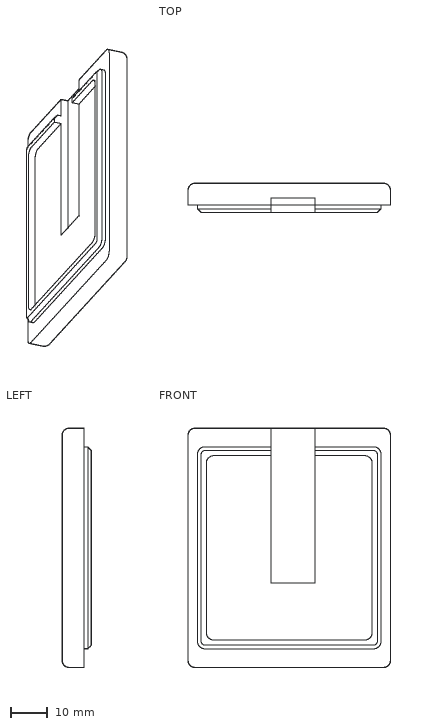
import cadquery as cq

plate_width = 55.0
plate_height = 65.0
plate_thickness = 6.0
plate_corner_radius = 2.0
back_edge_radius = 2.0

rim_side_margin = 2.6
rim_end_margin = 5.1
rim_projection = 2.0
rim_wall = 2.4
rim_corner_radius = 2.0
rim_chamfer = 1.0

slot_width = 12.0
slot_length = 42.0
slot_depth_in_plate = 2.0
slot_center_x = 1.0

rim_width = plate_width - 2 * rim_side_margin
rim_height = plate_height - 2 * rim_end_margin
rim_front_y = -rim_projection


def upright_block(width, height, front_y, depth, corner_radius):
    """Centred block with rounded upright corners, running from front_y towards +Y."""
    return (
        cq.Workplane("XZ", origin=(0, front_y, 0))
        .rect(width, height)
        .extrude(-depth)
        .edges("|Y")
        .fillet(corner_radius)
    )


def make_plate():
    """Base plate with its front face at Y = 0 and a rounded back perimeter."""
    plate = upright_block(plate_width, plate_height, 0, plate_thickness, plate_corner_radius)
    return plate.faces(">Y").edges().fillet(back_edge_radius)


def make_rim():
    """Closed rim with a chamfered outer edge and straight inner walls."""
    outer = upright_block(rim_width, rim_height, rim_front_y, rim_projection, rim_corner_radius)
    outer = outer.faces("<Y").edges().chamfer(rim_chamfer)
    opening = upright_block(
        rim_width - 2 * rim_wall,
        rim_height - 2 * rim_wall,
        rim_front_y,
        rim_projection,
        rim_corner_radius,
    )
    return outer.cut(opening)


def make_slot():
    """Cutter for the slot, from the rim front down to the slot floor."""
    slot_center_z = plate_height / 2 - slot_length / 2
    return (
        cq.Workplane("XZ", origin=(slot_center_x, rim_front_y, slot_center_z))
        .rect(slot_width, slot_length)
        .extrude(-(rim_projection + slot_depth_in_plate))
    )


result = make_plate().union(make_rim()).cut(make_slot())